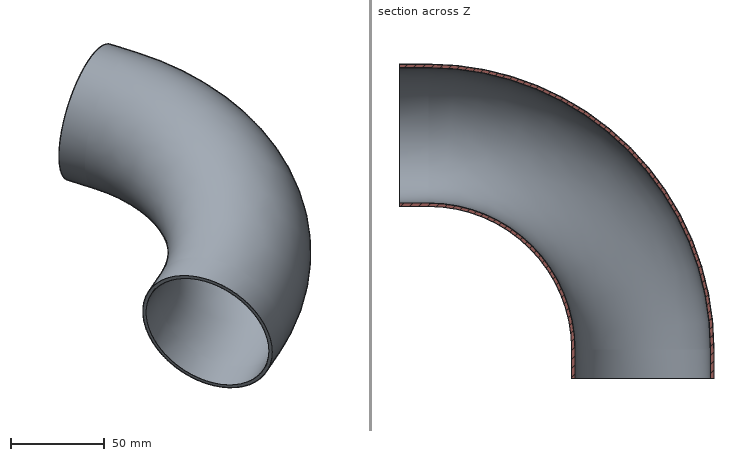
import cadquery as cq

outer_diameter = 76.3
inner_diameter = 72.3
end_to_axis = 130.0
bend_radius = 1.5 * outer_diameter
collar_length = end_to_axis - bend_radius
bend_angle = 90.0


def ring(plane):
    """Pipe wall cross-section, centred on the origin of the plane."""
    return cq.Workplane(plane).circle(outer_diameter / 2).circle(inner_diameter / 2)


inlet_plane = cq.Plane(origin=(0, 0, 0), xDir=(0, 1, 0), normal=(1, 0, 0))
bend_plane = cq.Plane(origin=(collar_length, 0, 0), xDir=(0, 1, 0), normal=(1, 0, 0))
outlet_plane = cq.Plane(origin=(end_to_axis, -bend_radius, 0), xDir=(1, 0, 0), normal=(0, -1, 0))

inlet_collar = ring(inlet_plane).extrude(collar_length)
outlet_collar = ring(outlet_plane).extrude(collar_length)

bend = ring(bend_plane).revolve(bend_angle, (-bend_radius, 1, 0), (-bend_radius, 0, 0))

result = inlet_collar.union(bend).union(outlet_collar)